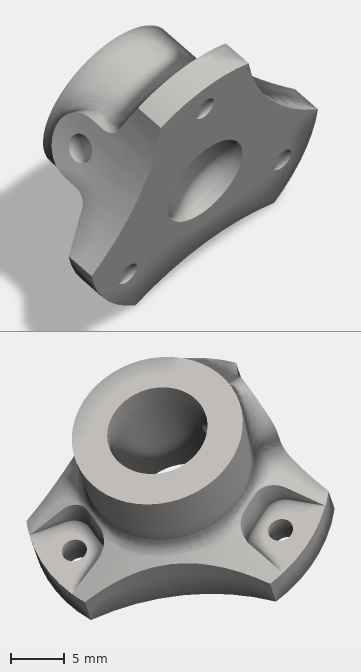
import cadquery as cq
import math

LENGTH = 13.5
SPAN = 28.73
CORNER_DROP = 1.87
FLANGE_RADIUS = math.hypot(SPAN / 2, CORNER_DROP)
HUB_RADIUS = 16.25 / 2
BORE_RADIUS = 9.55 / 2
FLANGE_THICKNESS = 3.15
CONE_SLOPE = 2.0
BLEND_RADIUS = 1.52

SIDE_DISTANCE = 9.77
CORNER_ANGLE = math.radians(60) - math.asin(CORNER_DROP / FLANGE_RADIUS)
SIDE_HALF_CHORD = FLANGE_RADIUS * math.cos(CORNER_ANGLE)
SIDE_SAGITTA = FLANGE_RADIUS * math.sin(CORNER_ANGLE) - SIDE_DISTANCE
SIDE_RADIUS = (SIDE_HALF_CHORD**2 + SIDE_SAGITTA**2) / (2 * SIDE_SAGITTA)

POCKET_INNER = 8.88
POCKET_INNER_HALF_WIDTH = 2.9
POCKET_RIM_HALF_WIDTH = 4.02
POCKET_RIM_HEIGHT = 13.93
POCKET_CORNER_RADIUS = 2.0
POCKET_DRAFT = 6.0
SCREW_RADIUS = 2.38 / 2
SCREW_CIRCLE_RADIUS = 11.32

LUG_RADIUS = 3.45
LUG_X = 5.55
LUG_HOLE_RADIUS = 2.85 / 2
LUG_ANGLE = 60.0

ARM_ANGLES = (0, 120, 240)
SIDE_ANGLES = (60, 180, 300)
TRIM_MARGIN = 2.87
SELECT_MARGIN = 0.3

FLANGE_X = LENGTH - FLANGE_THICKNESS
CONE_START_X = FLANGE_X - (FLANGE_RADIUS - HUB_RADIUS) / CONE_SLOPE


def about_axis(shape, angle):
    return shape.rotate((0, 0, 0), (1, 0, 0), angle)


def axial_cylinder(radius):
    return cq.Workplane("YZ").circle(radius).extrude(LENGTH)


def radial_cylinder(radius, height):
    """Cylinder along +Z from the hub axis, centred on the lug."""
    return cq.Workplane("XY").center(LUG_X, 0).circle(radius).extrude(height)


def revolved_stock():
    """Hub and cone, with the cone continued past the flange rim."""
    stock_radius = FLANGE_RADIUS + TRIM_MARGIN
    rim_x = FLANGE_X + TRIM_MARGIN / CONE_SLOPE
    profile = [
        (0, 0),
        (0, HUB_RADIUS),
        (CONE_START_X, HUB_RADIUS),
        (rim_x, stock_radius),
        (LENGTH, stock_radius),
        (LENGTH, 0),
    ]
    return cq.Workplane("XZ").polyline(profile).close().revolve(360, (0, 0, 0), (1, 0, 0))


def lug_stock():
    """Round-ended lug along +Z, running back into the flange."""
    height = SIDE_DISTANCE + TRIM_MARGIN
    web_length = LENGTH - LUG_X
    web = cq.Workplane("XY").box(web_length, 2 * LUG_RADIUS, height, centered=(False, True, False))
    return radial_cylinder(LUG_RADIUS, height).union(web.translate((LUG_X, 0, 0)))


def blended_stock():
    """Hub, cone and lug joined, with every inside corner rounded."""
    joined = revolved_stock().union(lug_stock())
    lug_foot = cq.selectors.BoxSelector(
        (SELECT_MARGIN, -LUG_RADIUS - SELECT_MARGIN, 0),
        (LENGTH - SELECT_MARGIN, LUG_RADIUS + SELECT_MARGIN, SIDE_DISTANCE + TRIM_MARGIN - SELECT_MARGIN),
    )
    hub_foot = cq.selectors.BoxSelector(
        (CONE_START_X - SELECT_MARGIN, -HUB_RADIUS, -HUB_RADIUS),
        (CONE_START_X + SELECT_MARGIN, HUB_RADIUS, HUB_RADIUS),
    )
    inside_corners = lug_foot + hub_foot
    return joined.edges(inside_corners).fillet(BLEND_RADIUS)


def concave_side():
    return axial_cylinder(SIDE_RADIUS).translate((0, 0, SIDE_DISTANCE + SIDE_RADIUS))


def screw_pocket():
    """Drafted pocket on the +Z arm, open outward, with its floor on the flange."""
    flare = (POCKET_RIM_HALF_WIDTH - POCKET_INNER_HALF_WIDTH) / (POCKET_RIM_HEIGHT - POCKET_INNER)
    outer = FLANGE_RADIUS + TRIM_MARGIN
    outer_half_width = POCKET_INNER_HALF_WIDTH + flare * (outer - POCKET_INNER)
    lean = math.atan(flare)
    tangent_length = POCKET_CORNER_RADIUS * math.tan((math.pi / 2 - lean) / 2)
    flat = POCKET_INNER_HALF_WIDTH - tangent_length
    side_y = POCKET_INNER_HALF_WIDTH + tangent_length * math.sin(lean)
    side_z = POCKET_INNER + tangent_length * math.cos(lean)
    middle_angle = (math.pi / 2 - lean) / 2
    middle_y = flat + POCKET_CORNER_RADIUS * math.sin(middle_angle)
    middle_z = POCKET_INNER + POCKET_CORNER_RADIUS * (1 - math.cos(middle_angle))
    return (
        cq.Workplane("YZ", origin=(FLANGE_X, 0, 0))
        .moveTo(-flat, POCKET_INNER)
        .lineTo(flat, POCKET_INNER)
        .threePointArc((middle_y, middle_z), (side_y, side_z))
        .lineTo(outer_half_width, outer)
        .lineTo(-outer_half_width, outer)
        .lineTo(-side_y, side_z)
        .threePointArc((-middle_y, middle_z), (-flat, POCKET_INNER))
        .close()
        .extrude(-FLANGE_X / 2, taper=-POCKET_DRAFT)
    )


def screw_hole():
    return axial_cylinder(SCREW_RADIUS).translate((0, 0, SCREW_CIRCLE_RADIUS))


result = about_axis(blended_stock(), LUG_ANGLE).intersect(axial_cylinder(FLANGE_RADIUS))
for angle in SIDE_ANGLES:
    result = result.cut(about_axis(concave_side(), angle))
for angle in ARM_ANGLES:
    result = result.cut(about_axis(screw_pocket(), angle))
    result = result.cut(about_axis(screw_hole(), angle))
result = result.cut(axial_cylinder(BORE_RADIUS))
result = result.cut(about_axis(radial_cylinder(LUG_HOLE_RADIUS, FLANGE_RADIUS), LUG_ANGLE))